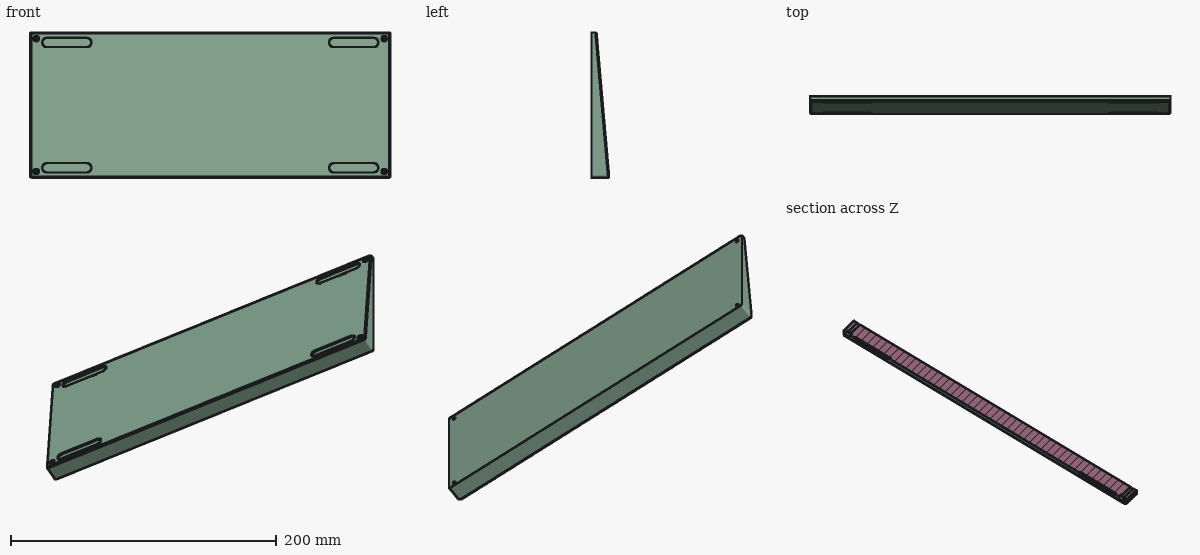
import cadquery as cq
import math

length = 271.46
height = 109.54
bottom_depth = 13.5
front_angle = 5.0
edge_break = 1.0
corner_radius = 2.0

hole_diameter = 2.2
counterbore_diameter = 4.0
counterbore_depth = 3.0
hole_inset = 4.76
hole_height_inset = 4.76

slot_length = 37.0
slot_width = 7.0
slot_depth = 1.0
slot_inset = 27.76
slot_height_inset = 7.6

slope = math.tan(math.radians(front_angle))
back_y = bottom_depth / 2
sharp_bottom_depth = bottom_depth + edge_break * math.sin(math.radians(front_angle))
top_depth = sharp_bottom_depth - height * slope


def front_y(z):
    """Y of the sloping front face at height z (z = 0 is mid-height)."""
    return back_y - sharp_bottom_depth + (z + height / 2) * slope


def make_wedge():
    """Plate with rounded corners and a chamfered front rim."""
    profile = [
        (back_y, -height / 2),
        (back_y, height / 2),
        (back_y - top_depth, height / 2),
        (back_y - sharp_bottom_depth, -height / 2),
    ]
    wedge = cq.Workplane("YZ").polyline(profile).close().extrude(length / 2, both=True)
    wedge = wedge.edges("|Y").fillet(corner_radius)
    return wedge.faces("<Y").chamfer(edge_break)


def front_plane(x, z, tilt=front_angle):
    """Workplane on the front face at (x, z), facing out, its normal tilted up from -Y."""
    angle = math.radians(tilt)
    normal = (0, -math.cos(angle), math.sin(angle))
    return cq.Workplane(cq.Plane(origin=(x, front_y(z), z), xDir=(1, 0, 0), normal=normal))


def screw_hole(x, z):
    """Hole along Y; its counterbore starts just ahead of the face to clear the slope."""
    plane = front_plane(x, z, tilt=0)
    bore = plane.circle(hole_diameter / 2).extrude(-bottom_depth)
    counterbore_start = plane.workplane(offset=counterbore_diameter * slope)
    counterbore = counterbore_start.circle(counterbore_diameter / 2).extrude(-counterbore_depth)
    return bore.union(counterbore)


def foot_recess(x, z):
    """Round-ended recess, square to the front face."""
    return front_plane(x, z).slot2D(slot_length, slot_width).extrude(-slot_depth)


result = make_wedge()
for side in (-1, 1):
    for level in (-1, 1):
        hole_x = side * (length / 2 - hole_inset)
        hole_z = level * (height / 2 - hole_height_inset)
        result = result.cut(screw_hole(hole_x, hole_z))
        slot_x = side * (length / 2 - slot_inset)
        slot_z = level * (height / 2 - slot_height_inset)
        result = result.cut(foot_recess(slot_x, slot_z))